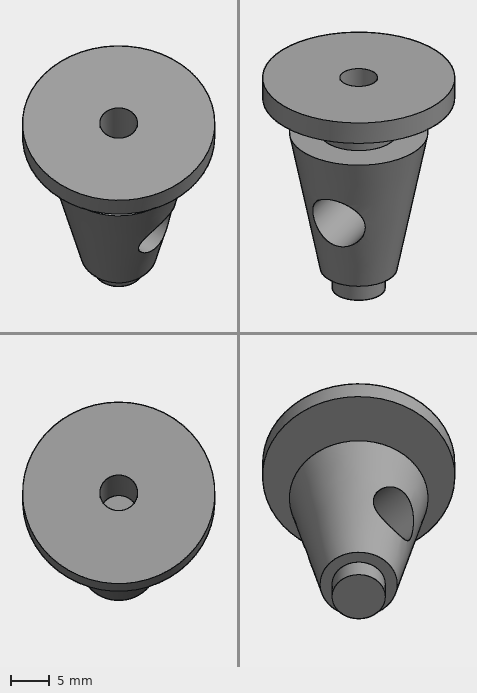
import cadquery as cq

total_height = 31.0

flange_diameter = 25.0
flange_thickness = 3.0
neck_diameter = 10.0
neck_length = 5.08
cone_top_diameter = 18.0
cone_bottom_diameter = neck_diameter
pin_diameter = 6.9
pin_length = 2.9

cross_hole_diameter = 7.5
top_hole_diameter = 4.9
top_hole_depth = flange_thickness + neck_length

flange_bottom = total_height - flange_thickness
cone_top = flange_bottom - neck_length
cone_bottom = pin_length
cross_hole_height = (cone_top + cone_bottom) / 2


def turned_body():
    """Revolve the half profile: pin, tapered body, neck and flange."""
    profile = (
        cq.Workplane("XZ")
        .moveTo(0, 0)
        .lineTo(pin_diameter / 2, 0)
        .lineTo(pin_diameter / 2, cone_bottom)
        .lineTo(cone_bottom_diameter / 2, cone_bottom)
        .lineTo(cone_top_diameter / 2, cone_top)
        .lineTo(neck_diameter / 2, cone_top)
        .lineTo(neck_diameter / 2, flange_bottom)
        .lineTo(flange_diameter / 2, flange_bottom)
        .lineTo(flange_diameter / 2, total_height)
        .lineTo(0, total_height)
        .close()
    )
    return profile.revolve(360, (0, 0, 0), (0, 1, 0))


def cross_hole():
    """Cylinder along X that passes right through the tapered body."""
    return (
        cq.Workplane("YZ")
        .center(0, cross_hole_height)
        .circle(cross_hole_diameter / 2)
        .extrude(cone_top_diameter, both=True)
    )


def top_hole():
    """Flat-bottomed blind hole down through the flange and neck."""
    return (
        cq.Workplane("XY")
        .workplane(offset=total_height - top_hole_depth)
        .circle(top_hole_diameter / 2)
        .extrude(top_hole_depth)
    )


result = turned_body().cut(cross_hole()).cut(top_hole())